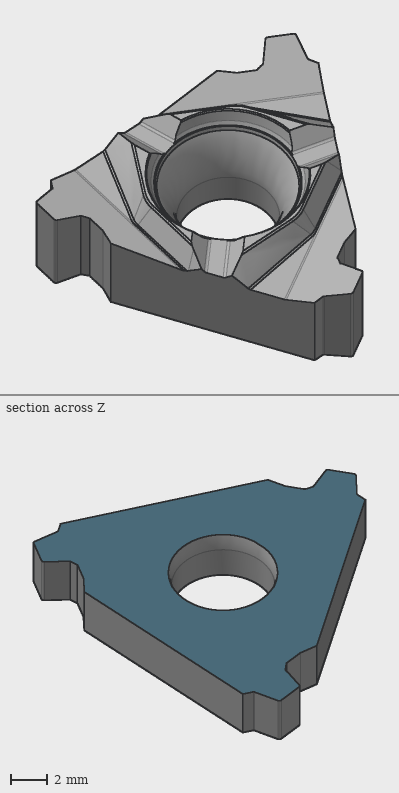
import cadquery as cq
import math

CORNERS = 3
CORNER_STEP = 360 / CORNERS
INSCRIBED_RADIUS = 6.35
TOTAL_HEIGHT = 5.84
OVERSIZE = 16

TOOTH_TIP_Y = -9.29
TOOTH_TIP_LEFT_X = -5.39
TOOTH_TIP_RIGHT_X = -3.71
TOOTH_FLANK_ANGLE = 15
TOOTH_TIP_RADIUS = 0.16
TOOTH_ROOT_RADIUS = 0.1

LEFT_SHOULDER_Y = -7.41
LEFT_SHOULDER_ANGLE = 30
RIGHT_ROOT_Y = -7.79
RIGHT_SHOULDER_Y = -7.49
RIGHT_SHOULDER_LEFT_X = -2.91
RIGHT_SHOULDER_RIGHT_X = -1.80
HEEL_X = -0.75

FLOOR_Z = 4.61
RAKE_ANGLE = 15
RAKE_START = 5.68
RAKE_HALF_WIDTH = 8
RAKE_FOOT_RADIUS = 0.4

FRONT_TOP_OFFSET = 4.71
FRONT_FOOT_OFFSET = 5.535
SIDE_TOP_OFFSET = 4.80
SIDE_FOOT_OFFSET = 5.64
SIDE_TOP_TURN = 30
SIDE_FOOT_TURN = 22
BOSS_TOP_RADIUS = 2.0
BOSS_FOOT_RADIUS = 1.2
BOSS_EDGE_CHAMFER = 0.08
BOSS_FLARE_HEIGHT = 0.05
FRONT_FLARE_WIDTH = 0.09
SIDE_FLARE_WIDTH = 0.13
FACET_POLAR_ANGLE = -60
FACET_TURN = 3.5

SLOT_DIRECTION = 195
SLOT_OFFSET = 0.13
SLOT_FLOOR_Z = 5.0
SLOT_FLOOR_HALF_WIDTH = 0.545
SLOT_WALL_ANGLE = 43
SLOT_FILLET = 0.25
SLOT_CLEARANCE = 1

BORE_RADIUS = 5.7 / 2
SEAT_BOTTOM_Z = 1.95
SEAT_RADIUS = 4.2
SEAT_TOP_Z = 4.75
LEDGE_INNER_RADIUS = 4.0
LEDGE_OUTER_RADIUS = 4.08
LEDGE_Z = 5.0
RECESS_FOOT_RADIUS = 4.25
RECESS_FOOT_Z = 5.21
RECESS_TOP_RADIUS = 4.48
RECESS_MOUTH_RADIUS = 4.55
RECESS_MOUTH_DEPTH = 0.08


def rotated(point, angle):
    """Turn a plan point around the axis by an angle in degrees."""
    c = math.cos(math.radians(angle))
    s = math.sin(math.radians(angle))
    return (point[0] * c - point[1] * s, point[0] * s + point[1] * c)


def distance_along(point, angle):
    """Distance of a plan point from the axis, measured along a direction in degrees."""
    return point[0] * math.cos(math.radians(angle)) + point[1] * math.sin(math.radians(angle))


def lines_meeting(angle_a, offset_a, angle_b, offset_b):
    """Intersect two lines given by their normal direction and distance from the axis."""
    ca, sa = math.cos(math.radians(angle_a)), math.sin(math.radians(angle_a))
    cb, sb = math.cos(math.radians(angle_b)), math.sin(math.radians(angle_b))
    det = ca * sb - sa * cb
    return ((offset_a * sb - offset_b * sa) / det, (ca * offset_b - cb * offset_a) / det)


def around_corners(shape):
    """Repeat a shape at every corner and join the copies."""
    joined = shape
    for i in range(1, CORNERS):
        joined = joined.union(shape.rotate((0, 0, 0), (0, 0, 1), i * CORNER_STEP))
    return joined


def make_outline():
    """Full-height prism with a toothed profile at each corner."""
    flank = math.tan(math.radians(TOOTH_FLANK_ANGLE))
    shoulder = math.tan(math.radians(LEFT_SHOULDER_ANGLE))
    left_x = -INSCRIBED_RADIUS
    flank_x_at_shoulder = TOOTH_TIP_LEFT_X - flank * (LEFT_SHOULDER_Y - TOOTH_TIP_Y)
    left_root_x = (flank_x_at_shoulder + flank * shoulder * INSCRIBED_RADIUS) / (1 - flank * shoulder)
    left_root = (left_root_x, LEFT_SHOULDER_Y - shoulder * (left_root_x - left_x))
    right_root = (TOOTH_TIP_RIGHT_X + flank * (RIGHT_ROOT_Y - TOOTH_TIP_Y), RIGHT_ROOT_Y)
    side = math.radians(-CORNER_STEP / 2)
    heel = (HEEL_X, (INSCRIBED_RADIUS - HEEL_X * math.cos(side)) / math.sin(side))
    tip_left = (TOOTH_TIP_LEFT_X, TOOTH_TIP_Y)
    tip_right = (TOOTH_TIP_RIGHT_X, TOOTH_TIP_Y)
    corner = [
        (left_x, LEFT_SHOULDER_Y),
        left_root,
        tip_left,
        tip_right,
        right_root,
        (RIGHT_SHOULDER_LEFT_X, RIGHT_SHOULDER_Y),
        (RIGHT_SHOULDER_RIGHT_X, RIGHT_SHOULDER_Y),
        heel,
    ]
    points = [rotated(p, i * CORNER_STEP) for i in range(CORNERS) for p in corner]
    prism = cq.Workplane("XY").polyline(points).close().extrude(TOTAL_HEIGHT)
    rounded = ((tip_left, TOOTH_TIP_RADIUS), (tip_right, TOOTH_TIP_RADIUS), (left_root, TOOTH_ROOT_RADIUS))
    for i in range(CORNERS):
        for vertex, radius in rounded:
            x, y = rotated(vertex, i * CORNER_STEP)
            edge = cq.selectors.NearestToPointSelector((x, y, TOTAL_HEIGHT / 2))
            prism = prism.edges(edge).fillet(radius)
    return prism


def make_deck():
    """Flat chip floor with a rake face rising toward each tooth."""
    floor = cq.Workplane("XY").circle(OVERSIZE).extrude(FLOOR_Z)
    rise = math.radians(RAKE_ANGLE)
    tangent = RAKE_FOOT_RADIUS * math.tan(rise / 2)
    arc_mid = (
        RAKE_START - tangent + RAKE_FOOT_RADIUS * math.sin(rise / 2),
        FLOOR_Z + RAKE_FOOT_RADIUS * (1 - math.cos(rise / 2)),
    )
    arc_end = (RAKE_START + tangent * math.cos(rise), FLOOR_Z + tangent * math.sin(rise))
    rake = (
        cq.Workplane("YZ", origin=(-RAKE_HALF_WIDTH, 0, 0))
        .moveTo(-RAKE_START + tangent, FLOOR_Z)
        .threePointArc((-arc_mid[0], arc_mid[1]), (-arc_end[0], arc_end[1]))
        .lineTo(-OVERSIZE, FLOOR_Z + (OVERSIZE - RAKE_START) * math.tan(rise))
        .lineTo(-OVERSIZE, 0)
        .lineTo(-RAKE_START + tangent, 0)
        .close()
        .extrude(2 * RAKE_HALF_WIDTH)
    )
    return floor.union(around_corners(rake))


def boss_wire(front_offset, side_offset, side_turn, blend_radius, z):
    """Boss section: per corner a side wall, a blend, a front wall and a short end facet."""
    side_angle = -90 - side_turn
    bend = lines_meeting(side_angle, side_offset, -90, front_offset)
    facet_start = (front_offset / math.tan(math.radians(-FACET_POLAR_ANGLE)), -front_offset)
    facet_angle = -90 + FACET_TURN
    facet_offset = distance_along(facet_start, facet_angle)
    outer = lines_meeting(facet_angle, facet_offset, side_angle + CORNER_STEP, side_offset)
    setback = blend_radius * math.tan(math.radians(side_turn / 2))
    to_centre = blend_radius / math.cos(math.radians(side_turn / 2)) - blend_radius
    middle = math.radians(-90 - side_turn / 2)
    arc_mid = (bend[0] - to_centre * math.cos(middle), bend[1] - to_centre * math.sin(middle))
    turn = math.radians(side_turn)
    arc_start = (bend[0] - setback * math.cos(turn), bend[1] + setback * math.sin(turn))
    arc_end = (bend[0] + setback, bend[1])
    section = cq.Workplane("XY", origin=(0, 0, z)).moveTo(*rotated(outer, -CORNER_STEP))
    for i in range(CORNERS):
        spin = i * CORNER_STEP
        section = section.lineTo(*rotated(arc_start, spin))
        section = section.threePointArc(rotated(arc_mid, spin), rotated(arc_end, spin))
        section = section.lineTo(*rotated(facet_start, spin)).lineTo(*rotated(outer, spin))
    return section.wire().val()


def make_boss():
    """Sloped-wall boss lofted from a narrow foot flare up to the flat top."""
    flare = boss_wire(
        FRONT_FOOT_OFFSET + FRONT_FLARE_WIDTH,
        SIDE_FOOT_OFFSET + SIDE_FLARE_WIDTH,
        SIDE_FOOT_TURN,
        BOSS_FOOT_RADIUS,
        FLOOR_Z,
    )
    foot_z = FLOOR_Z + BOSS_FLARE_HEIGHT
    foot = boss_wire(FRONT_FOOT_OFFSET, SIDE_FOOT_OFFSET, SIDE_FOOT_TURN, BOSS_FOOT_RADIUS, foot_z)
    top = boss_wire(FRONT_TOP_OFFSET, SIDE_TOP_OFFSET, SIDE_TOP_TURN, BOSS_TOP_RADIUS, TOTAL_HEIGHT)
    boss = cq.Workplane(cq.Solid.makeLoft([flare, foot, top], True))
    return boss.faces(">Z").edges().chamfer(BOSS_EDGE_CHAMFER)


def make_slot():
    """Cutter for one slot, running outward from the axis."""
    height = TOTAL_HEIGHT + SLOT_CLEARANCE - SLOT_FLOOR_Z
    top_half_width = SLOT_FLOOR_HALF_WIDTH + height / math.tan(math.radians(SLOT_WALL_ANGLE))
    slot = (
        cq.Workplane("YZ", origin=(0, -SLOT_OFFSET, SLOT_FLOOR_Z))
        .polyline([
            (-SLOT_FLOOR_HALF_WIDTH, 0),
            (SLOT_FLOOR_HALF_WIDTH, 0),
            (top_half_width, height),
            (-top_half_width, height),
        ])
        .close()
        .extrude(OVERSIZE)
    )
    slot = slot.faces("<Z").edges("|X").fillet(SLOT_FILLET)
    return slot.rotate((0, 0, 0), (0, 0, 1), SLOT_DIRECTION)


def make_screw_hole():
    """Stepped cutter: bore, curved screw seat, ledge and flared recess."""
    centre_r = BORE_RADIUS + SEAT_RADIUS
    seat_angle = math.asin((SEAT_TOP_Z - SEAT_BOTTOM_Z) / SEAT_RADIUS)

    def seat_point(angle):
        return (centre_r - SEAT_RADIUS * math.cos(angle), SEAT_BOTTOM_Z + SEAT_RADIUS * math.sin(angle))

    return (
        cq.Workplane("XZ")
        .moveTo(0, 0)
        .lineTo(BORE_RADIUS, 0)
        .lineTo(BORE_RADIUS, SEAT_BOTTOM_Z)
        .threePointArc(seat_point(seat_angle / 2), seat_point(seat_angle))
        .lineTo(LEDGE_INNER_RADIUS, LEDGE_Z)
        .lineTo(LEDGE_OUTER_RADIUS, LEDGE_Z)
        .lineTo(RECESS_FOOT_RADIUS, RECESS_FOOT_Z)
        .lineTo(RECESS_TOP_RADIUS, TOTAL_HEIGHT - RECESS_MOUTH_DEPTH)
        .lineTo(RECESS_MOUTH_RADIUS, TOTAL_HEIGHT)
        .lineTo(0, TOTAL_HEIGHT)
        .close()
        .revolve(360, (0, 0, 0), (0, 1, 0))
    )


outline = make_outline()
slots = around_corners(make_slot())
body = make_deck().union(make_boss())
result = body.intersect(outline).cut(slots).cut(make_screw_hole())